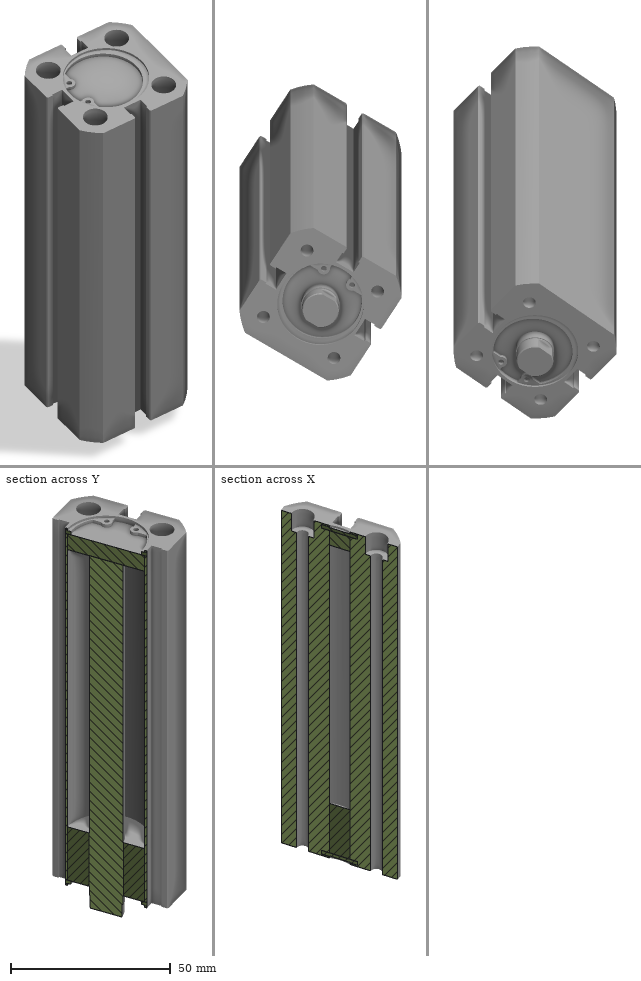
import cadquery as cq


body_width = 41.0
body_length = 133.0
corner_diameter = 51.0
bore_radius = 13.55

slot_depth = 6.0
slot_mouth_width = 5.5
slot_inner_width = 6.4
slot_lip_depth = 2.3
slot_mouth_chamfer = 0.35

mount_spacing = 26.0
mount_hole_diameter = 4.0
counterbore_diameter = 7.77
counterbore_depth = 7.0

ring_outer_radius = 14.508
ring_inner_radius = 12.45
ring_inner_offset = -1.05
ring_thickness = 1.2
ring_depth = 0.8
lug_x = 5.2
lug_y = -10.4
lug_radius = 1.9
lug_gap_half_width = 3.7
lug_shoulder_x = 9.4
lug_shoulder_y = -9.05
lug_hole_diameter = 1.8

head_cover_thickness = 6.0
rod_cover_thickness = 20.0

rod_diameter = 12.0
rod_projection = 6.0
rod_shoulder_drop = 1.3
rod_tip_diameter = 11.5
rod_flat_width = 10.0
rod_flat_length = 4.0
rod_flat_runout = 0.5
rod_tip_chamfer = 0.3

half_width = body_width / 2
cover_setback = ring_depth + ring_thickness
head_cover_bottom = body_length - cover_setback - head_cover_thickness


def cylinder(diameter, z_start, length):
    return cq.Workplane("XY").workplane(offset=z_start).circle(diameter / 2).extrude(length)


def make_slot_cutter():
    """T-slot along the whole length, opening in the -Y face."""
    floor_y = -half_width + slot_depth
    lip_y = -half_width + slot_lip_depth
    chamfer_y = -half_width + slot_mouth_chamfer
    half_mouth = slot_mouth_width / 2
    half_inner = slot_inner_width / 2
    half_profile = [
        (half_mouth + slot_mouth_chamfer, -half_width),
        (half_mouth, chamfer_y),
        (half_mouth, lip_y),
        (half_inner, lip_y),
        (half_inner, floor_y),
    ]
    mirrored_profile = [(-x, y) for x, y in reversed(half_profile)]
    return cq.Workplane("XY").polyline(half_profile + mirrored_profile).close().extrude(body_length)


def make_ring():
    """Eccentric retaining ring with two eyelet lugs beside a gap facing -Y, resting on Z = 0."""
    disc = cylinder(2 * ring_outer_radius, 0, ring_thickness)
    opening = cylinder(2 * ring_inner_radius, 0, ring_thickness).translate((0, ring_inner_offset, 0))
    gap = cq.Workplane("XY").box(
        2 * lug_gap_half_width, 2 * ring_outer_radius, ring_thickness, centered=(True, False, False)
    )
    ring = disc.cut(opening).cut(gap.translate((0, lug_y - 2 * ring_outer_radius, 0)))
    for side in (-1, 1):
        eyelet = cylinder(2 * lug_radius, 0, ring_thickness).translate((side * lug_x, lug_y, 0))
        web = (
            cq.Workplane("XY")
            .moveTo(side * lug_gap_half_width, lug_y)
            .lineTo(side * lug_x, lug_y)
            .lineTo(side * lug_x, lug_shoulder_y)
            .lineTo(side * lug_shoulder_x, lug_shoulder_y)
            .lineTo(side * lug_shoulder_x, -ring_outer_radius)
            .lineTo(side * lug_gap_half_width, -ring_outer_radius)
            .close()
            .extrude(ring_thickness)
        )
        eyelet_hole = cylinder(lug_hole_diameter, 0, ring_thickness).translate((side * lug_x, lug_y, 0))
        ring = ring.union(eyelet.union(web).intersect(disc)).cut(eyelet_hole)
    return ring


def make_housing(seated_rings):
    """Square extrusion with turned corners, through bore, slots, mounting holes and ring grooves."""
    housing = cq.Workplane("XY").rect(body_width, body_width).extrude(body_length)
    housing = housing.intersect(cylinder(corner_diameter, 0, body_length))
    housing = housing.cut(cylinder(2 * bore_radius, 0, body_length))
    for angle in (-90, 0, 90):
        housing = housing.cut(make_slot_cutter().rotate((0, 0, 0), (0, 0, 1), angle))
    housing = (
        housing.faces(">Z")
        .workplane(origin=(0, 0, body_length))
        .rect(mount_spacing, mount_spacing, forConstruction=True)
        .vertices()
        .cboreHole(mount_hole_diameter, counterbore_diameter, counterbore_depth)
    )
    for ring in seated_rings:
        housing = housing.cut(ring)
    return housing


def make_head_cover():
    return cylinder(2 * bore_radius, head_cover_bottom, head_cover_thickness)


def make_rod_cover():
    cover = cylinder(2 * bore_radius, cover_setback, rod_cover_thickness)
    return cover.cut(cylinder(rod_diameter, cover_setback, rod_cover_thickness))


def make_rod():
    """Rod reaching up to the head cover, with two wrench flats on its reduced tip, facing +Y and -Y."""
    shaft = cylinder(rod_diameter, -rod_shoulder_drop, head_cover_bottom + rod_shoulder_drop)
    tip = cylinder(rod_tip_diameter, -rod_projection, rod_projection - rod_shoulder_drop)
    tip = tip.faces("<Z").chamfer(rod_tip_chamfer)
    flat_y = rod_flat_width / 2
    flat_top = -rod_projection + rod_flat_length
    for side in (-1, 1):
        flat_cutter = (
            cq.Workplane("YZ")
            .moveTo(side * flat_y, -rod_projection)
            .lineTo(side * flat_y, flat_top)
            .lineTo(side * rod_tip_diameter / 2, flat_top + rod_flat_runout)
            .lineTo(side * rod_diameter, flat_top + rod_flat_runout)
            .lineTo(side * rod_diameter, -rod_projection)
            .close()
            .extrude(rod_diameter / 2, both=True)
        )
        tip = tip.cut(flat_cutter)
    return shaft.union(tip)


rings = [make_ring().translate((0, 0, z)) for z in (ring_depth, body_length - cover_setback)]
housing = make_housing(rings)
head_cover = make_head_cover()
rod_cover = make_rod_cover()
rod = make_rod()

result = cq.Compound.makeCompound(
    [housing.val(), head_cover.val(), rod_cover.val(), rod.val(), *[ring.val() for ring in rings]]
)